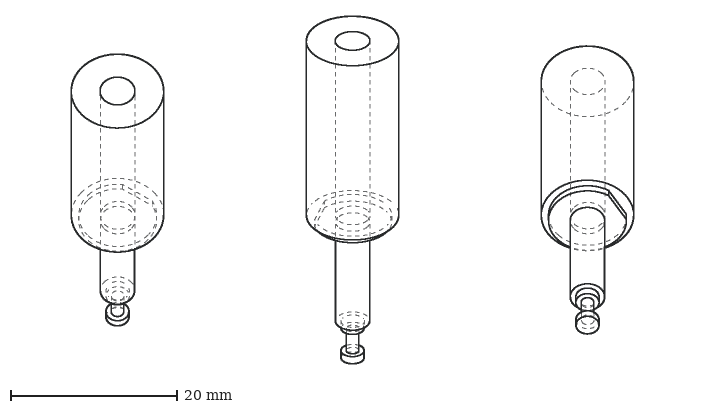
import cadquery as cq

total_length = 45.2
body_diameter = 11.15

flange_diameter = 9.4
stem_diameter = 4.15
head_diameter = 2.8
neck_diameter = 1.55

head_top = 1.05
collar_bottom = 4.2
stem_bottom = 5.25
flange_bottom = 19.4
body_bottom = 20.35

flange_flat_offset = 4.15

bore_diameter = 4.2
bore_depth = total_length - body_bottom


def cylinder(diameter, bottom, top):
    """Round section on the Z axis between two heights."""
    return cq.Workplane("XY").workplane(offset=bottom).circle(diameter / 2).extrude(top - bottom)


def flatted_flange():
    """Round flange with its +Y side cut off flat."""
    flange = cylinder(flange_diameter, flange_bottom, body_bottom)
    keep_depth = flange_diameter / 2 + flange_flat_offset
    keep = (
        cq.Workplane("XY")
        .workplane(offset=flange_bottom)
        .center(0, flange_flat_offset - keep_depth / 2)
        .rect(flange_diameter, keep_depth)
        .extrude(body_bottom - flange_bottom)
    )
    return flange.intersect(keep)


result = cylinder(head_diameter, 0, head_top)
result = result.union(cylinder(neck_diameter, head_top, collar_bottom))
result = result.union(cylinder(head_diameter, collar_bottom, stem_bottom))
result = result.union(cylinder(stem_diameter, stem_bottom, flange_bottom))

result = result.union(flatted_flange())
result = result.union(cylinder(body_diameter, body_bottom, total_length))

result = result.cut(cylinder(bore_diameter, total_length - bore_depth, total_length))